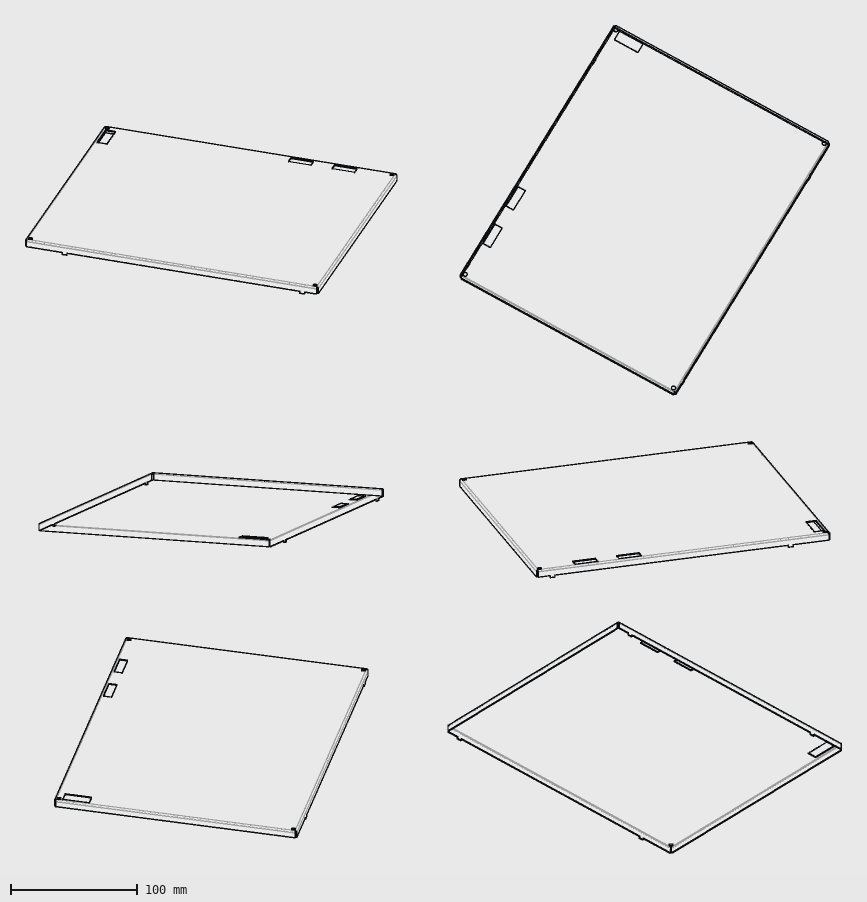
import cadquery as cq

length = 244.0
width = 197.0
height = 7.8
sheet = 1.0
bend_radius = 1.5
tab_drop = 1.7

long_wall_inset = 1.2
short_wall_inset = bend_radius

hole_diameter = 3.2
hole_inset = 3.5

tab_width = 4.0
tab_centers_x = (-89.0, 108.8)

openings = (
    (-115.0, 81.3, 8.3, 21.5),
    (43.5, 92.5, 18.8, 6.5),
    (79.8, 92.5, 18.8, 6.5),
)


def box(size_x, size_y, bottom, top, x=0.0, y=0.0):
    """Upright block centred at (x, y) between two heights."""
    return cq.Workplane("XY", origin=(x, y, bottom)).rect(size_x, size_y).extrude(top - bottom)


def rounded_bar(plane, span, run, top, radius):
    """Bar reaching down to the wall bottoms, with its two long top edges rounded."""
    run_axis = "|X" if plane == "YZ" else "|Y"
    return (
        cq.Workplane(plane)
        .center(0, (top + tab_drop) / 2)
        .rect(span, top - tab_drop)
        .extrude(run / 2, both=True)
        .faces(">Z")
        .edges(run_axis)
        .fillet(radius)
    )


def bent_walls(plane, span, run):
    """Opposite pair of walls, each with its bend, span apart and run long."""
    outer = rounded_bar(plane, span, run, height, bend_radius)
    inner = rounded_bar(plane, span - 2 * sheet, run, height - sheet, bend_radius - sheet)
    between_bends = (
        cq.Workplane(plane)
        .center(0, height / 2)
        .rect(span - 2 * bend_radius, height)
        .extrude(run / 2, both=True)
    )
    return outer.cut(inner).cut(between_bends)


flat_top = box(length - 2 * bend_radius, width - 2 * bend_radius, height - sheet, height)
long_walls = bent_walls("YZ", width, length - 2 * long_wall_inset)
short_walls = bent_walls("XZ", length, width - 2 * short_wall_inset)
cover = flat_top.union(long_walls).union(short_walls)

for side in (-1, 1):
    for x in tab_centers_x:
        wall_y = side * (width - sheet) / 2
        cover = cover.union(box(tab_width, sheet, 0, height - bend_radius, x, wall_y))

for x, y, size_x, size_y in openings:
    cover = cover.cut(box(size_x, size_y, height - sheet, height, x, y))

screw_holes = (
    cq.Workplane("XY")
    .rect(length - 2 * hole_inset, width - 2 * hole_inset, forConstruction=True)
    .vertices()
    .circle(hole_diameter / 2)
    .extrude(height)
)

result = cover.cut(screw_holes)